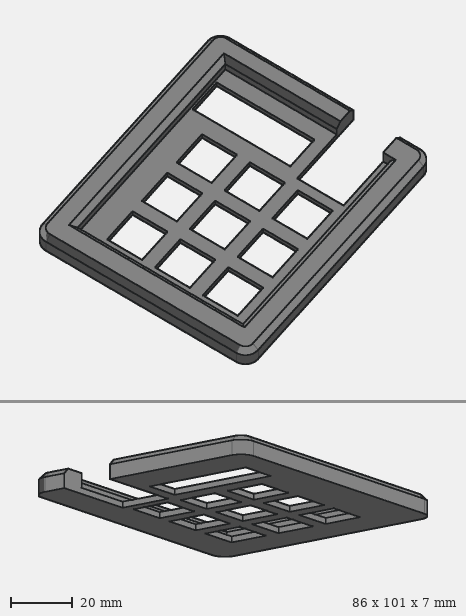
import cadquery as cq

frame_x = 86.0
frame_y = 101.0
frame_z = 7.0
corner_radius = 5.0
bevel = 2.0

plate_thickness = 2.0
rim_side = 10.0
rim_front = 10.6
rim_back = 9.3

slot_x = 18.5
slot_y = 31.0
slot_from_left = 54.4

window_x = 39.0
window_y = 13.2
window_from_left = 10.8
window_from_back = 15.2

key_size = 13.9
key_pitch = 19.1
key_columns = 3
key_rows = 3
keys_from_left = 19.2
keys_from_front = 14.1

left = -frame_x / 2
right = frame_x / 2
front = -frame_y / 2
back = frame_y / 2
slot_left = left + slot_from_left
slot_right = slot_left + slot_x


def block(x_min, x_max, y_min, y_max, z_min, z_max):
    """Box given by its limits along each axis."""
    size = (x_max - x_min, y_max - y_min, z_max - z_min)
    return cq.Workplane("XY").box(*size, centered=False).translate((x_min, y_min, z_min))


def opening(x_min, y_min, x_size, y_size):
    """Cutter for a rectangular opening through the full height."""
    return block(x_min, x_min + x_size, y_min, y_min + y_size, 0, frame_z)


def frame():
    """Round-cornered slab with a beveled top edge."""
    slab = block(left, right, front, back, 0, frame_z)
    return slab.edges("|Z").fillet(corner_radius).faces(">Z").edges().chamfer(bevel)


def recess():
    """Straight-walled recess whose rim flares out by the bevel size near the top."""
    x_min = left + rim_side
    x_max = right - rim_side
    y_min = front + rim_front
    y_max = back - rim_back
    straight = block(x_min, x_max, y_min, y_max, plate_thickness, frame_z)
    flare = (
        cq.Workplane("XY", origin=((x_min + x_max) / 2, (y_min + y_max) / 2, frame_z - bevel))
        .rect(x_max - x_min, y_max - y_min)
        .workplane(offset=bevel)
        .rect(x_max - x_min + 2 * bevel, y_max - y_min + 2 * bevel)
        .loft()
    )
    square_edge = block(slot_right, right, y_max, back, 0, frame_z)
    return straight.union(flare.cut(square_edge))


def keys():
    """Grid of square key openings."""
    cutters = cq.Workplane("XY")
    for column in range(key_columns):
        for row in range(key_rows):
            x_min = left + keys_from_left + column * key_pitch
            y_min = front + keys_from_front + row * key_pitch
            cutters = cutters.union(opening(x_min, y_min, key_size, key_size))
    return cutters


window = opening(
    left + window_from_left,
    back - window_from_back - window_y,
    window_x,
    window_y,
)
slot = opening(slot_left, back - slot_y, slot_x, slot_y)

result = frame().cut(recess()).cut(window).cut(slot).cut(keys())